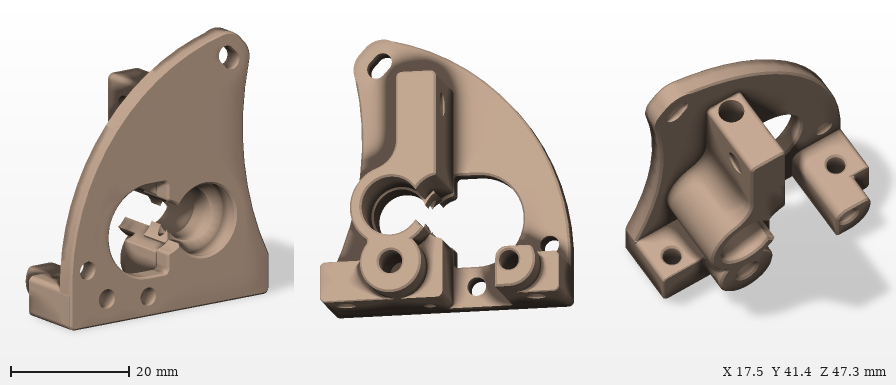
import cadquery as cq
import math

width = 17.5
depth = 41.35
height = 47.25
corner_radius = 1.0
edge_break = 0.355
pick_margin = 0.05

plate_x = 14.07
base_x = 5.3
bore_step_x = 8.0
bore_flare_x = 12.37
base_height = 7.0

sail_radius = 40.0
sail_center = (sail_radius, 8.05)
back_radius = 51.45
back_center_z = 29.75
tip_radius = 3.95
slot_diameter = 3.2
slot_low_z = 42.15
screw_holes = [(16.15, 3.55), (3.55, 10.1)]
screw_diameter = 3.2

bore_center = (28.0, 15.0)
jaw_tip_y = 23.7
mirror_center = (2 * jaw_tip_y - bore_center[0], bore_center[1])
bore_radius = 4.6
wide_bore_radius = 5.0
collar_radius = 7.05
lobe_corner_radius = 0.6
lip_radius = 0.4

window_center = (16.1, bore_center[1])
window_radius = 8.0
window_corner_radius = 0.7

tower_near_y = 20.15
tower_far_y = 27.05
tower_top = 38.1
tower_blend_radius = 5.0
cross_hole_diameter = 4.0
cross_hole_at = (5.15, 33.25)

clamp_x = 11.6
clamp_diameter = 2.1
clamp_bore_diameter = 4.4
clamp_bore_floor = 26.0
drill_half_angle = 59.0

boss_radius = 5.3
boss_center = (bore_center[0], boss_radius)
neck_radius = 0.7
pin_diameter = 4.0
pin_depth = 9.45

block_width = 9.9
block_round = 2.0
nose_radius = 4.55
nose_center = (7.55, nose_radius)
nose_hole_diameter = 3.4
block_edge_break = 0.2

base_hole_x = 8.6
base_hole_y = [4.68, depth - 3.83]
base_hole_diameter = 3.2


def on_circle(center, radius, angle):
    """Point on a circle, with the angle in radians."""
    return (center[0] + radius * math.cos(angle), center[1] + radius * math.sin(angle))


def direction(start, end):
    """Angle of the line from start to end, in radians."""
    return math.atan2(end[1] - start[1], end[0] - start[0])


def at_x(x):
    """YZ sketch plane at a given X."""
    return cq.Workplane("YZ", origin=(x, 0, 0))


def rod(center, radius, x_start, x_end):
    """Cylinder along X."""
    return at_x(x_start).center(*center).circle(radius).extrude(x_end - x_start)


def arc_to(sketch, center, radius, start, end):
    """Arc between two angles, onto a sketch already standing at the start."""
    return sketch.threePointArc(
        on_circle(center, radius, (start + end) / 2), on_circle(center, radius, end)
    )


def block(x, y, z):
    """Box from its (low, high) range along each axis."""
    return cq.Workplane("XY").box(x[1] - x[0], y[1] - y[0], z[1] - z[0], centered=False).translate(
        (x[0], y[0], z[0])
    )


def countersunk_along_x(center, diameter, x_start, x_end):
    """Cutter along X with a small chamfer at its start."""
    radius = diameter / 2
    mouth = cq.Solid.makeCone(
        radius + edge_break, radius, edge_break, cq.Vector(x_start, *center), cq.Vector(1, 0, 0)
    )
    return rod(center, radius, x_start, x_end).union(cq.Workplane(mouth))


back_center = (
    depth + math.sqrt(back_radius**2 - (back_center_z - base_height) ** 2),
    back_center_z,
)

slot_low_y = back_center[0] - math.sqrt(
    (back_radius + tip_radius) ** 2 - (slot_low_z - back_center[1]) ** 2
)
slot_high_z = height - tip_radius
slot_high_y = sail_center[0] - math.sqrt(
    (sail_radius - tip_radius) ** 2 - (slot_high_z - sail_center[1]) ** 2
)
slot_low = (slot_low_y, slot_low_z)
slot_high = (slot_high_y, slot_high_z)
slot_angle = direction(slot_high, slot_low)

sail_foot = math.pi + math.asin((sail_center[1] - base_height + corner_radius) / sail_radius)
sail_foot_point = on_circle(sail_center, sail_radius, sail_foot)
sail_end = direction(sail_center, slot_high)
tip_flat = slot_angle + math.pi / 2
back_end = direction(back_center, slot_low)
back_foot = math.pi + math.asin((back_center[1] - base_height) / back_radius)


def make_plate_back():
    """Plate behind its front edge break, over the whole outline."""
    front_x = plate_x + edge_break
    outline = at_x(front_x).moveTo(sail_foot_point[0], 0).lineTo(*sail_foot_point)
    outline = arc_to(outline, sail_center, sail_radius, sail_foot, sail_end)
    outline = arc_to(outline, slot_high, tip_radius, sail_end, tip_flat)
    outline = outline.lineTo(*on_circle(slot_low, tip_radius, tip_flat))
    outline = arc_to(outline, slot_low, tip_radius, tip_flat, back_end - math.pi)
    outline = arc_to(outline, back_center, back_radius, back_end, back_foot)
    plate = outline.lineTo(depth, 0).close().extrude(width - front_x)
    plate = plate.edges("|X and <Z").fillet(corner_radius)
    return plate.faces(">X").edges().chamfer(edge_break)


def make_plate_front():
    """Front of the plate, chamfered only along the sail edge and the back edge."""
    back_x = width - edge_break
    thickness = back_x - plate_x
    outline = at_x(plate_x).moveTo(*sail_foot_point)
    outline = arc_to(outline, sail_center, sail_radius, sail_foot, sail_end)
    outline = outline.lineTo(*on_circle(back_center, back_radius, back_end))
    outline = arc_to(outline, back_center, back_radius, back_end, back_foot)
    sail = outline.close().extrude(thickness)
    sail = sail.faces("<X").edges("%CIRCLE").chamfer(edge_break)

    tip = make_slot(tip_radius, plate_x, back_x)
    strip = block((plate_x, back_x), (0, depth), (0, base_height))
    strip = strip.edges("|X").edges("<Z or <Y").fillet(corner_radius)
    return sail.union(tip).union(strip)


def make_slot(radius, x_start, x_end):
    """Rounded bar along X, spanning the two slot centres."""
    middle = ((slot_low[0] + slot_high[0]) / 2, (slot_low[1] + slot_high[1]) / 2)
    length = math.dist(slot_low, slot_high) + 2 * radius
    sketch = at_x(x_start).center(*middle).slot2D(length, 2 * radius, math.degrees(slot_angle))
    return sketch.extrude(x_end - x_start)


def make_window():
    """Cutter with a round end and a flat side along the tower wall."""
    low_z = window_center[1] - window_radius
    high_z = window_center[1] + window_radius
    window = (
        at_x(plate_x)
        .moveTo(tower_near_y, low_z)
        .lineTo(window_center[0], low_z)
        .threePointArc((window_center[0] - window_radius, window_center[1]), (window_center[0], high_z))
        .lineTo(tower_near_y, high_z)
        .close()
        .extrude(width - plate_x)
    )
    return window.edges("|X and >Y").fillet(window_corner_radius)


def make_bore_pair(radius, x_start, x_end):
    """Cutter for the bore and its mirrored twin."""
    twin = rod(mirror_center, radius, x_start, x_end)
    return rod(bore_center, radius, x_start, x_end).union(twin)


def round_lips(body, radius):
    """Round the edges where the mirrored bore breaks out of the tower wall's plane."""
    reach = wide_bore_radius + edge_break
    near_wall = cq.selectors.BoxSelector(
        (0, tower_near_y - edge_break, bore_center[1] - reach),
        (width, tower_near_y + edge_break, bore_center[1] + reach),
    )
    return body.edges("|X").edges(near_wall).fillet(radius)


def meeting_point(low_radius, high_radius, side):
    """Where circles about the boss and bore centres cross, on the +Y (1) or -Y (-1) side."""
    rise = bore_center[1] - boss_center[1]
    lift = (low_radius**2 - high_radius**2 + rise**2) / (2 * rise)
    half_chord = math.sqrt(low_radius**2 - lift**2)
    return (boss_center[0] + side * half_chord, boss_center[1] + lift)


def make_bearing():
    """Tower, collar and boss in one outline, from X = 0 to the plate, with the wide bore."""
    full_turn = 2 * math.pi
    blend_y = tower_far_y + tower_blend_radius
    blend_rise = math.sqrt(
        (collar_radius + tower_blend_radius) ** 2 - (blend_y - bore_center[0]) ** 2
    )
    blend_center = (blend_y, bore_center[1] + blend_rise)
    neck_center = meeting_point(boss_radius + neck_radius, collar_radius + neck_radius, 1)
    crotch = meeting_point(boss_radius, collar_radius, -1)

    collar_top = direction(bore_center, blend_center)
    collar_low = direction(bore_center, neck_center)
    boss_top = direction(boss_center, neck_center)
    boss_end = direction(boss_center, crotch) - full_turn
    collar_start = direction(bore_center, crotch) % full_turn

    outline = at_x(0).moveTo(tower_near_y, bore_center[1])
    outline = outline.lineTo(tower_near_y, tower_top).lineTo(tower_far_y, tower_top)
    outline = outline.lineTo(tower_far_y, blend_center[1])
    outline = arc_to(outline, blend_center, tower_blend_radius, math.pi, collar_top + math.pi)
    outline = arc_to(outline, bore_center, collar_radius, collar_top, collar_low)
    outline = arc_to(outline, neck_center, neck_radius, collar_low + math.pi, boss_top + math.pi)
    outline = arc_to(outline, boss_center, boss_radius, boss_top, boss_end)
    outline = arc_to(outline, bore_center, collar_radius, collar_start, math.pi)
    body = outline.close().extrude(plate_x)
    body = body.edges("|X and >Z").fillet(corner_radius)
    body = body.cut(make_bore_pair(wide_bore_radius, 0, plate_x))
    body = round_lips(body, lip_radius)
    return body.faces("<X").edges().chamfer(edge_break)


def make_foot(center, radius):
    """Sloping ring where a round nose meets the face of a base block."""
    start = cq.Vector(base_x - edge_break, *center)
    return cq.Workplane(
        cq.Solid.makeCone(radius, radius + edge_break, edge_break, start, cq.Vector(1, 0, 0))
    )


def make_base():
    """Low base block and the lower jaw on it."""
    base = block((base_x, plate_x), (tower_near_y, depth), (0, base_height))
    base = base.edges("|X").edges(">Y or <Z").fillet(corner_radius)
    base = base.faces("<X").edges(">Y").chamfer(block_edge_break)
    foot = make_foot(boss_center, boss_radius)
    base = base.union(foot.intersect(block((0, base_x), (boss_center[0], depth), (0, base_height))))
    jaw = block((base_x, plate_x), (tower_near_y, bore_center[0]), (0, bore_center[1]))
    jaw = jaw.edges("|X and <Z and <Y").fillet(corner_radius)
    jaw = jaw.cut(make_bore_pair(wide_bore_radius, base_x, plate_x))
    return base.union(round_lips(jaw, lip_radius))


def make_shelf():
    """Filling inside the collar that narrows the bore towards the plate."""
    shelf = rod(bore_center, collar_radius, bore_step_x, plate_x)
    return shelf.cut(make_bore_pair(bore_radius, bore_step_x, plate_x))


def make_end_block():
    """Block at the -Y side with a half-round nose."""
    body = block((base_x, plate_x), (0, block_width), (0, base_height))
    body = body.edges("|X and >Z and >Y").fillet(block_round)
    body = body.edges("|X and <Y").fillet(corner_radius)
    body = body.faces("<X").edges("<Y").chamfer(block_edge_break)

    nose_end = base_x + edge_break
    envelope = block((0, nose_end), (0, block_width), (0, base_height))
    envelope = envelope.edges("|X and >Z and >Y").fillet(block_round)
    nose = rod(nose_center, nose_radius, 0, nose_end)
    nose = nose.union(block((0, nose_end), (nose_center[0], block_width), (0, base_height)))
    nose = nose.intersect(envelope).edges("|X and >Z").edges("<Y").fillet(corner_radius)
    foot = make_foot(nose_center, nose_radius)
    foot = foot.intersect(block((0, base_x), (0, nose_center[0]), (0, base_height - edge_break)))
    return body.union(nose.faces("<X").edges().chamfer(edge_break)).union(foot)


def break_rim(plate, face_x, y_limit):
    """Chamfer the opening's rim on one face of the plate, from the window up to y_limit."""
    reach = window_radius + edge_break
    rim = cq.selectors.BoxSelector(
        (face_x - pick_margin, window_center[0] - reach, window_center[1] - reach),
        (face_x + pick_margin, y_limit, window_center[1] + reach),
    )
    return plate.edges(rim).chamfer(edge_break)


def make_flare():
    """Conical mouth of the bore, then a straight bore through the plate."""
    flare_length = plate_x - bore_flare_x
    cone = cq.Solid.makeCone(
        bore_radius,
        bore_radius + flare_length,
        flare_length,
        cq.Vector(bore_flare_x, *bore_center),
        cq.Vector(1, 0, 0),
    )
    return rod(bore_center, bore_radius + flare_length, plate_x, width).union(cq.Workplane(cone))


def make_clamp_hole():
    """Clamp screw hole, opened up with a drilled cone floor through the tower."""
    bore_r = clamp_bore_diameter / 2
    drop = bore_r / math.tan(math.radians(drill_half_angle))
    profile = (
        cq.Workplane("XZ")
        .lineTo(clamp_diameter / 2, 0)
        .lineTo(clamp_diameter / 2, clamp_bore_floor - drop)
        .lineTo(bore_r, clamp_bore_floor)
        .lineTo(bore_r, tower_top)
        .lineTo(0, tower_top)
        .close()
    )
    return profile.revolve(360, (0, 0), (0, 1)).translate((clamp_x, jaw_tip_y, 0))


def make_pin_hole():
    """Blind drilled hole in the boss."""
    radius = pin_diameter / 2
    tip = cq.Solid.makeCone(
        radius,
        0,
        radius / math.tan(math.radians(drill_half_angle)),
        cq.Vector(pin_depth, *boss_center),
        cq.Vector(1, 0, 0),
    )
    return countersunk_along_x(boss_center, pin_diameter, 0, pin_depth).union(cq.Workplane(tip))


def make_base_hole(y):
    """Vertical through hole with a chamfered mouth."""
    radius = base_hole_diameter / 2
    hole = cq.Workplane("XY", origin=(base_hole_x, y, 0)).circle(radius).extrude(base_height)
    mouth = cq.Solid.makeCone(
        radius,
        radius + edge_break,
        edge_break,
        cq.Vector(base_hole_x, y, base_height - edge_break),
        cq.Vector(0, 0, 1),
    )
    return hole.union(cq.Workplane(mouth))


def make_cross_hole():
    """Hole through the tower along Y."""
    sketch = cq.Workplane("XZ", origin=(0, tower_far_y, 0)).center(*cross_hole_at)
    return sketch.circle(cross_hole_diameter / 2).extrude(tower_far_y - tower_near_y)


plate = make_plate_front().union(make_plate_back())
plate = plate.cut(make_window())
plate = plate.cut(make_bore_pair(bore_radius, plate_x, width))
plate = plate.cut(make_flare())
plate = round_lips(plate, lobe_corner_radius)
plate = break_rim(plate, plate_x, tower_near_y - edge_break)
plate = break_rim(plate, width, bore_center[0] + collar_radius)

bearing = make_bearing().union(make_base()).union(make_shelf())
bearing = bearing.cut(make_flare())
result = plate.union(bearing).union(make_end_block())

result = result.cut(make_clamp_hole())
result = result.cut(make_cross_hole())
result = result.cut(make_pin_hole())
result = result.cut(countersunk_along_x(nose_center, nose_hole_diameter, 0, width))
result = result.cut(make_slot(slot_diameter / 2, plate_x, width))
for hole_y in base_hole_y:
    result = result.cut(make_base_hole(hole_y))
for hole_center in screw_holes:
    result = result.cut(rod(hole_center, screw_diameter / 2, plate_x, width))